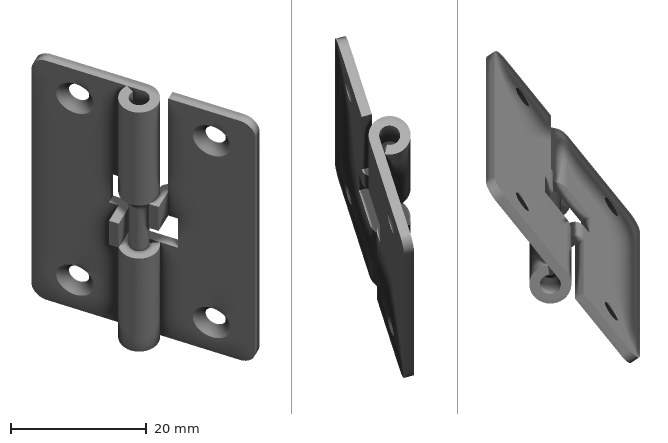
import cadquery as cq
import math

height = 50.0
width = 36.0
thickness = 1.55
corner_radius = 2.5

knuckle_radius = 3.1
bore_radius = knuckle_radius - thickness
knuckle_gap = 11.1
leaf_clearance = 4.0

tab_height = 5.0
tab_reach = 1.95
window_edge = 5.55

hole_x = 11.0
hole_z = 19.0
hole_diameter = 3.3
countersink_diameter = 6.1
countersink_angle = 90.0

pin_length = 40.0
pin_chamfer = 0.8

half_height = height / 2
half_width = width / 2
knuckle_end = knuckle_gap / 2
tab_top = tab_height - knuckle_end
front_face = knuckle_radius - thickness


def make_plate():
    """Flat sheet with its window and set-back edge, ending above the pin axis."""
    plate = (
        cq.Workplane("XZ", origin=(0, knuckle_radius, 0))
        .moveTo(-half_width, -half_height)
        .lineTo(-leaf_clearance, -half_height)
        .lineTo(-leaf_clearance, tab_top)
        .lineTo(-window_edge, tab_top)
        .lineTo(-window_edge, knuckle_end)
        .lineTo(0, knuckle_end)
        .lineTo(0, half_height)
        .lineTo(-half_width, half_height)
        .close()
        .extrude(thickness)
    )
    return plate.edges("|Y and <X").fillet(corner_radius)


def make_knuckle():
    """Curl from above the pin round to where it meets the front face of the sheet."""
    end_angle = math.pi - math.asin(front_face / knuckle_radius)
    middle_angle = (math.pi / 2 + end_angle) / 2 + math.pi

    def polar(radius, angle):
        return (radius * math.cos(angle), radius * math.sin(angle))

    return (
        cq.Workplane("XY", origin=(0, 0, knuckle_end))
        .moveTo(0, knuckle_radius)
        .threePointArc(polar(knuckle_radius, middle_angle), polar(knuckle_radius, end_angle))
        .lineTo(*polar(bore_radius, end_angle))
        .threePointArc(polar(bore_radius, middle_angle), (0, bore_radius))
        .close()
        .extrude(half_height - knuckle_end)
    )


def make_tab():
    """Stop tab, bent sharply on the inside and with the sheet thickness as outer radius."""
    tab_face = thickness - leaf_clearance
    bend_offset = thickness * math.sqrt(0.5)
    return (
        cq.Workplane("XY", origin=(0, 0, -knuckle_end))
        .moveTo(-leaf_clearance, knuckle_radius)
        .threePointArc((-leaf_clearance + bend_offset, front_face + bend_offset), (tab_face, front_face))
        .lineTo(tab_face, -tab_reach)
        .lineTo(-leaf_clearance, -tab_reach)
        .close()
        .extrude(tab_height)
    )


def make_leaf():
    """Left leaf: sheet, upper knuckle and stop tab, with two countersunk holes."""
    leaf = make_plate().union(make_knuckle()).union(make_tab())
    return (
        cq.Workplane("XZ", origin=(0, front_face, 0))
        .add(leaf)
        .pushPoints([(-hole_x, -hole_z), (-hole_x, hole_z)])
        .cskHole(hole_diameter, countersink_diameter, countersink_angle)
    )


def make_pin():
    """Plain pin filling the knuckle bores, chamfered and set back at both ends."""
    pin = cq.Workplane("XY", origin=(0, 0, -pin_length / 2)).circle(bore_radius).extrude(pin_length)
    return pin.faces("|Z").edges().chamfer(pin_chamfer)


leaves = []
for turn in (0, 180):
    leaves.append(make_leaf().rotate((0, 0, 0), (0, 1, 0), turn))
pin = make_pin()

result = cq.Compound.makeCompound([*[leaf.val() for leaf in leaves], pin.val()])